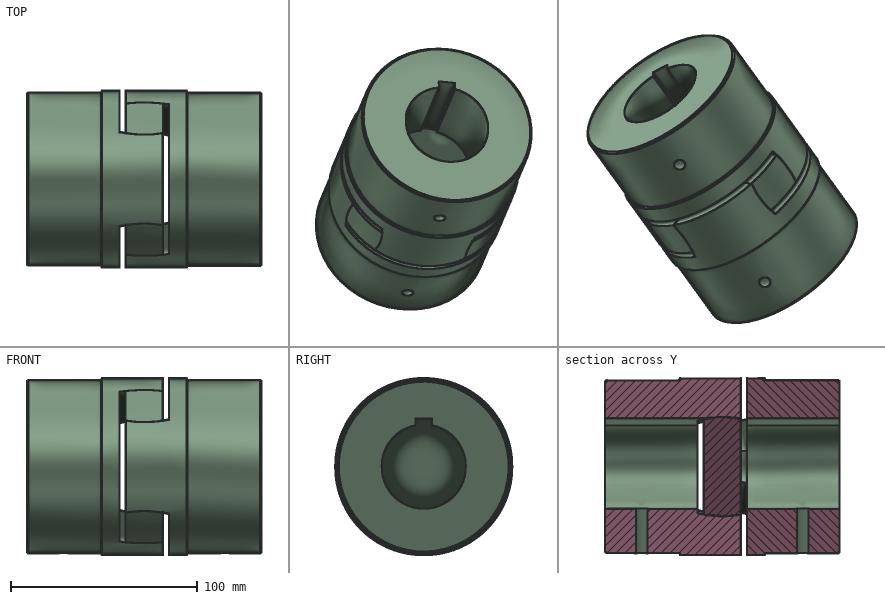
import cadquery as cq
import math

LENGTH = 126.0
FLANGE_RADIUS = 47.5
BODY_RADIUS = 46.5
FLANGE_END = 23.2
FLANGE_CHAMFER = 0.6
END_CHAMFER = 0.9
HALF_LENGTH = LENGTH / 2

BORE_RADIUS = 22.5
KEYWAY_WIDTH = 8.8
KEYWAY_TOP = 25.8
SCREW_DIAMETER = 6.0
SCREW_X = 43.2

WEB_FACE = 13.2
SPIDER_HALF = 10.0
CROWN_RADIUS = 50.4
LEG_HALF_WIDTH = 12.2
CORE_RADIUS = 26.6
CROWN_DROP = CROWN_RADIUS - math.sqrt(CROWN_RADIUS**2 - WEB_FACE**2)
LEG_ANGLES = (45, 135)


def x_cylinder(radius, start, end):
    return cq.Workplane("YZ").workplane(offset=start).circle(radius).extrude(end - start)


def crowned_cross():
    """Core and four legs with bulging sides, filling the space between the webs."""
    core_edge = CORE_RADIUS - CROWN_DROP
    core = (
        cq.Workplane("XY")
        .moveTo(-WEB_FACE, 0)
        .lineTo(-WEB_FACE, core_edge)
        .threePointArc((0, CORE_RADIUS), (WEB_FACE, core_edge))
        .lineTo(WEB_FACE, 0)
        .close()
        .revolve(360, (0, 0, 0), (1, 0, 0))
    )
    leg_edge = LEG_HALF_WIDTH - CROWN_DROP
    leg_pair = (
        cq.Workplane("XY")
        .moveTo(-WEB_FACE, -leg_edge)
        .lineTo(-WEB_FACE, leg_edge)
        .threePointArc((0, LEG_HALF_WIDTH), (WEB_FACE, leg_edge))
        .lineTo(WEB_FACE, -leg_edge)
        .threePointArc((0, -LEG_HALF_WIDTH), (-WEB_FACE, -leg_edge))
        .close()
        .extrude(FLANGE_RADIUS + 1.3, both=True)
    )
    cross = core
    for angle in LEG_ANGLES:
        cross = cross.union(leg_pair.rotate((0, 0, 0), (1, 0, 0), angle))
    return cross


def make_spider():
    return crowned_cross().intersect(x_cylinder(FLANGE_RADIUS, -SPIDER_HALF, SPIDER_HALF))


def hub_sleeve():
    """Stepped outside of the -X hub, up to its web face."""
    return (
        cq.Workplane("XY")
        .moveTo(-HALF_LENGTH, 0)
        .lineTo(-HALF_LENGTH, BODY_RADIUS - END_CHAMFER)
        .lineTo(-HALF_LENGTH + END_CHAMFER, BODY_RADIUS)
        .lineTo(-FLANGE_END, BODY_RADIUS)
        .lineTo(-FLANGE_END + FLANGE_CHAMFER, FLANGE_RADIUS)
        .lineTo(-WEB_FACE, FLANGE_RADIUS)
        .lineTo(-WEB_FACE, 0)
        .close()
        .revolve(360, (0, 0, 0), (1, 0, 0))
    )


def jaw_pair(jaw_side):
    """Two opposite jaws; jaw_side selects those on the Z axis or the Y axis."""
    jaws = x_cylinder(FLANGE_RADIUS, -WEB_FACE, SPIDER_HALF).cut(crowned_cross())
    return jaws.solids(f"<{jaw_side}").add(jaws.solids(f">{jaw_side}"))


def make_left_hub(jaw_side):
    hub = hub_sleeve()
    for jaw in jaw_pair(jaw_side).vals():
        hub = hub.union(cq.Workplane(jaw))
    bore = x_cylinder(BORE_RADIUS, -HALF_LENGTH, -WEB_FACE)
    keyway = (
        cq.Workplane("YZ")
        .workplane(offset=-HALF_LENGTH)
        .center(0, KEYWAY_TOP / 2)
        .rect(KEYWAY_WIDTH, KEYWAY_TOP)
        .extrude(HALF_LENGTH + SPIDER_HALF)
    )
    screw_hole = (
        cq.Workplane("XY")
        .center(-SCREW_X, 0)
        .circle(SCREW_DIAMETER / 2)
        .extrude(-FLANGE_RADIUS)
    )
    return hub.cut(bore).cut(keyway).cut(screw_hole)


left_hub = make_left_hub("Z").solids()
right_hub = make_left_hub("Y").rotate((0, 0, 0), (0, 0, 1), 180).solids()
spider = make_spider().solids()

result = cq.Compound.makeCompound([left_hub.val(), right_hub.val(), spider.val()])